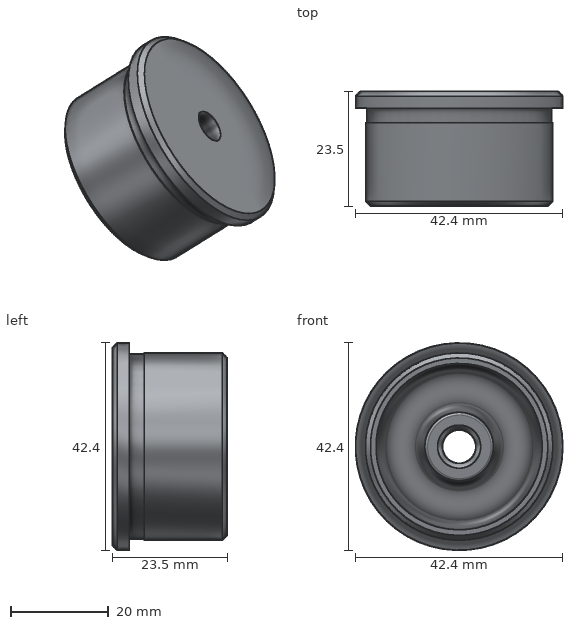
import cadquery as cq

total_length = 23.5
flange_diameter = 42.4
flange_thickness = 3.48
neck_diameter = 37.9
neck_end = 6.5
sleeve_diameter = 38.3
edge_chamfer = 1.0

cavity_diameter = 34.0
floor_thickness = flange_thickness
floor_fillet = 2.0
boss_diameter = 14.0
boss_recess = 5.0
boss_edge_fillet = 0.5

hole_diameter = 6.8
countersink_diameter = 8.8
countersink_angle = 90

boss_end = total_length - boss_recess


def disc(diameter, start, end):
    """Solid cylinder on the Y axis, running forward from start to end."""
    return (
        cq.Workplane("XZ", origin=(0, -start, 0))
        .circle(diameter / 2)
        .extrude(end - start)
    )


def make_sleeve():
    """Stepped outer body: flange, slightly smaller neck, sleeve."""
    flange = disc(flange_diameter, 0, flange_thickness).faces(">Y").chamfer(edge_chamfer)
    neck = disc(neck_diameter, 0, neck_end)
    sleeve = disc(sleeve_diameter, neck_end, total_length).faces("<Y").chamfer(edge_chamfer)
    return flange.union(neck).union(sleeve)


def make_cavity():
    """Ring-shaped space around the boss, rounded where it meets the floor."""
    cavity = disc(cavity_diameter, floor_thickness, total_length)
    ring = cavity.cut(disc(boss_diameter, floor_thickness, boss_end))
    return ring.faces(">Y").edges().fillet(floor_fillet)


def round_boss_edge(body):
    """Round the outer rim of the boss face."""
    boss_face = cq.selectors.NearestToPointSelector((0, -boss_end, 0))
    return body.faces(boss_face).edges().fillet(boss_edge_fillet)


def drill_hole(body):
    """Through hole, countersunk at the boss face."""
    boss_plane = cq.Workplane("XZ", origin=(0, -boss_end, 0))
    return (
        body.copyWorkplane(boss_plane)
        .pushPoints([(0, 0)])
        .cskHole(hole_diameter, countersink_diameter, countersink_angle)
    )


body = make_sleeve().cut(make_cavity())
result = drill_hole(round_boss_edge(body))